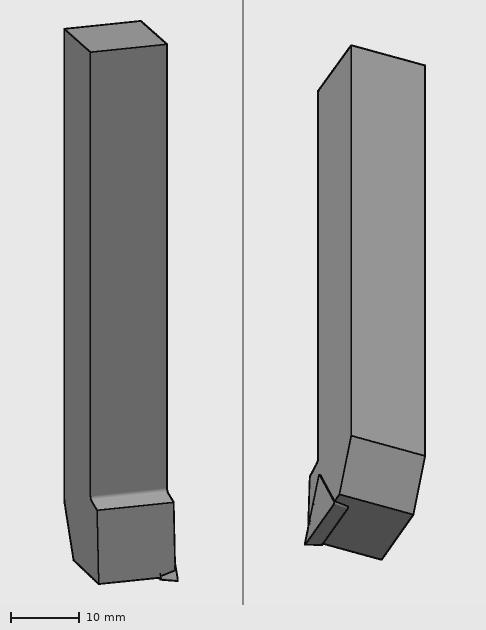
import cadquery as cq
import math

TOOL_LENGTH = 81.35
SHANK_WIDTH = 11.95
SHANK_DEPTH = 11.9

HEEL_HEIGHT = 8.8
HEEL_BOTTOM_X = 4.2
HEEL_BOTTOM_Z = 0.9
TOE_X = 15.7
TOE_Z = 0.65
SHOULDER_TIP_X = 15.0
SHOULDER_TIP_Z = 11.8
SHOULDER_ROOT_Z = 12.6
SHOULDER_FILLET = 0.65

INSCRIBED_DIAMETER = 6.35
INSERT_THICKNESS = 2.4
NOSE_RADIUS = 0.25
CLEARANCE_ANGLE = 7.0
EDGE_TILT = 1.0
CUTTING_TIP_X = 16.35
RAKE_PROTRUSION = 0.2
RAKE_Y = SHANK_DEPTH + RAKE_PROTRUSION


def make_insert():
    """Equilateral plate with rounded noses, tapering inward away from its rake face."""
    side = math.sqrt(3) * INSCRIBED_DIAMETER
    upward = math.radians(120 - EDGE_TILT)
    inward = math.radians(150 - EDGE_TILT)
    heelward = math.radians(180 - EDGE_TILT)

    corner_x = CUTTING_TIP_X - NOSE_RADIUS - 2 * NOSE_RADIUS * math.cos(inward)
    corner_z = NOSE_RADIUS - 2 * NOSE_RADIUS * math.sin(inward)
    corners = [(corner_x, corner_z)]
    for direction in (upward, heelward):
        corners.append((
            corner_x + side * math.cos(direction),
            corner_z + side * math.sin(direction),
        ))
    return (
        cq.Workplane("XZ", origin=(0, RAKE_Y, 0))
        .polyline(corners)
        .close()
        .extrude(INSERT_THICKNESS, taper=CLEARANCE_ANGLE)
        .edges("not #Y")
        .fillet(NOSE_RADIUS)
    )


def make_holder(insert):
    """Shank and offset head in one piece, with a pocket matching the insert."""
    outline = [
        (0, TOOL_LENGTH),
        (SHANK_WIDTH, TOOL_LENGTH),
        (SHANK_WIDTH, SHOULDER_ROOT_Z),
        (SHOULDER_TIP_X, SHOULDER_TIP_Z),
        (TOE_X, TOE_Z),
        (HEEL_BOTTOM_X, HEEL_BOTTOM_Z),
        (0, HEEL_HEIGHT),
    ]
    blank = cq.Workplane("XZ").polyline(outline).close().extrude(-SHANK_DEPTH)
    shoulder_root = cq.selectors.NearestToPointSelector(
        (SHANK_WIDTH, SHANK_DEPTH / 2, SHOULDER_ROOT_Z)
    )
    return blank.edges("|Y").edges(shoulder_root).fillet(SHOULDER_FILLET).cut(insert)


insert = make_insert()
holder = make_holder(insert)

result = cq.Compound.makeCompound([holder.solids().val(), insert.solids().val()])